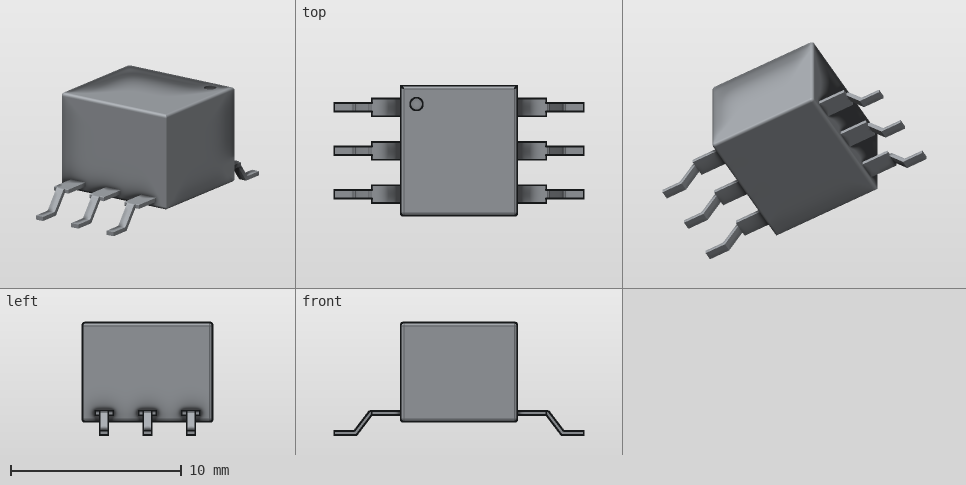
import cadquery as cq

span = 14.61
total_height = 6.6

body_length = 6.84
body_width = 7.63
standoff = 0.77
body_height = total_height - standoff
edge_radius = 0.19

mark_diameter = 0.75
mark_depth = 0.1
mark_x = -2.48
mark_y = 2.73

pins_per_side = 3
pin_pitch = 2.54
lead_thickness = 0.25
lead_width = 0.51
shoulder_width = 1.05
shoulder_end = 5.11
shoulder_edge_radius = 0.05
shoulder_bottom = 1.17
shoulder_top = shoulder_bottom + lead_thickness
foot_bend = 6.0
bend_radius = 0.16
lead_root = body_length / 2 - edge_radius

slope_run = foot_bend - shoulder_end
slope_length = (slope_run**2 + shoulder_bottom**2) ** 0.5
bend_shift = lead_thickness * (slope_length - slope_run) / shoulder_bottom


def make_body():
    body = cq.Workplane("XY").box(
        body_length, body_width, body_height, centered=(True, True, False)
    )
    body = body.edges("#Z or (|Z and <Y)").fillet(edge_radius)
    body = body.translate((0, 0, standoff))
    mark = (
        cq.Workplane("XY", origin=(mark_x, mark_y, total_height))
        .circle(mark_diameter / 2)
        .extrude(-mark_depth)
    )
    return body.cut(mark)


def make_shoulder():
    """Flat wide part of a +X lead, with its outer top edge eased."""
    shoulder = cq.Workplane("XY").box(
        shoulder_end - lead_root, shoulder_width, lead_thickness, centered=(False, True, False)
    )
    shoulder = shoulder.edges(">X and >Z").fillet(shoulder_edge_radius)
    return shoulder.translate((lead_root, 0, shoulder_bottom))


def make_strip():
    """Narrow bent strip of a +X lead, running from the body down to the foot."""
    upper_bend = shoulder_end + bend_shift
    lower_bend = foot_bend + bend_shift
    strip = (
        cq.Workplane("XZ")
        .polyline(
            [
                (lead_root, shoulder_bottom),
                (shoulder_end, shoulder_bottom),
                (foot_bend, 0),
                (span / 2, 0),
                (span / 2, lead_thickness),
                (lower_bend, lead_thickness),
                (upper_bend, shoulder_top),
                (lead_root, shoulder_top),
            ]
        )
        .close()
        .extrude(lead_width / 2, both=True)
    )
    for bend_x, bend_z in ((upper_bend, shoulder_top), (lower_bend, lead_thickness)):
        bend_edge = cq.selectors.NearestToPointSelector((bend_x, 0, bend_z))
        strip = strip.edges(bend_edge).fillet(bend_radius)
    return strip


lead = make_shoulder().union(make_strip())
opposite_lead = lead.mirror("YZ")

result = make_body()
for pin in range(pins_per_side):
    pin_y = (pin - (pins_per_side - 1) / 2) * pin_pitch
    result = result.union(lead.translate((0, pin_y, 0)))
    result = result.union(opposite_lead.translate((0, pin_y, 0)))